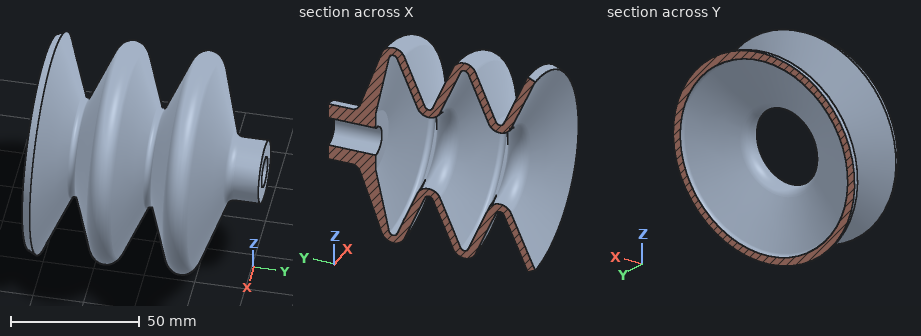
import cadquery as cq
import math


outer_radius = 44.0
total_height = 87.5
fold_pitch = 30.0
fold_count = 2
wall = 3.6

lip_edge_radius = 42.4
lip_height = 3.3

crest_round = 5.3
neck_radius = 19.5
neck_round = 1.7

stem_radius = 12.5
stem_length = 10.0
stem_fillet = 3.4
bore_radius = 6.0
cavity_roof = 67.3


def bellows_circles(offset):
    """Circles (radial centre, Y centre, radius) along one side of the bellows wall, from the lip upward.

    Necks and crests alternate; offset is the distance inward from the outer skin.
    """
    circles = []
    for fold in range(fold_count):
        neck_y = (fold + 0.5) * fold_pitch
        crest_y = (fold + 1) * fold_pitch
        circles.append((neck_radius + neck_round, neck_y, neck_round + offset))
        circles.append((outer_radius - crest_round, crest_y, crest_round - offset))
    return circles


def crossing_tangent(first, second, side):
    """End points of the tangent that passes between two circles.

    side is +1 when the first centre lies to the right of the path, -1 when it lies to the left.
    """
    x1, y1, r1 = first
    x2, y2, r2 = second
    centre_angle = math.atan2(y2 - y1, x2 - x1)
    angle = centre_angle - side * math.asin((r1 + r2) / math.hypot(x2 - x1, y2 - y1))
    right_x = side * math.sin(angle)
    right_y = -side * math.cos(angle)
    start = (x1 - r1 * right_x, y1 - r1 * right_y)
    end = (x2 + r2 * right_x, y2 + r2 * right_y)
    return start, end


def bellows_wave(sketch, start, circles, last_circle):
    """Draw cones and rounds from the start point along the circles, ending tangent to last_circle.

    The start point counts as a left-hand circle of zero radius; sides then alternate.
    """
    side = -1
    _, entry = crossing_tangent((*start, 0), circles[0], side)
    sketch = sketch.lineTo(*entry)
    for circle, following in zip(circles, circles[1:] + [last_circle]):
        side = -side
        centre_x, centre_y, radius = circle
        leave, entry = crossing_tangent(circle, following, side)
        sketch = sketch.threePointArc((centre_x - side * radius, centre_y), leave)
        sketch = sketch.lineTo(*entry)
    return sketch


def outer_body():
    lip_rim = (outer_radius, lip_height)
    stem_base = total_height - stem_length
    fillet_circle = (stem_radius + stem_fillet, stem_base, stem_fillet)
    sketch = cq.Workplane("ZY").lineTo(lip_edge_radius, 0).lineTo(*lip_rim)
    sketch = bellows_wave(sketch, lip_rim, bellows_circles(0), fillet_circle)
    sketch = sketch.tangentArcPoint((stem_radius, stem_base), relative=False)
    sketch = sketch.lineTo(stem_radius, total_height).lineTo(0, total_height).close()
    return sketch.revolve(360, (0, 0), (0, 1))


def inner_cavity():
    lip_edge = (lip_edge_radius, 0)
    roof_edge = (stem_radius, cavity_roof, 0)
    sketch = cq.Workplane("ZY").lineTo(*lip_edge)
    sketch = bellows_wave(sketch, lip_edge, bellows_circles(wall), roof_edge)
    sketch = sketch.lineTo(0, cavity_roof).close()
    return sketch.revolve(360, (0, 0), (0, 1))


def stem_bore():
    profile = cq.Workplane("ZY").rect(bore_radius, total_height, centered=False)
    return profile.revolve(360, (0, 0), (0, 1))


result = outer_body().cut(inner_cavity()).cut(stem_bore())